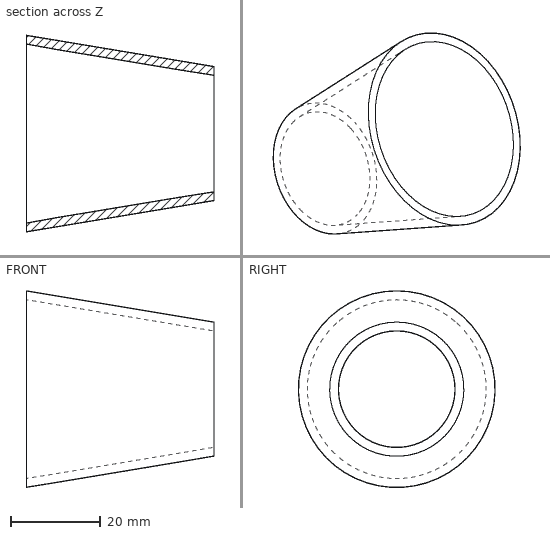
import cadquery as cq

length = 42.0
large_outer_diameter = 44.0
small_outer_diameter = 30.0
wall = 2.0

large_outer_radius = large_outer_diameter / 2
small_outer_radius = small_outer_diameter / 2


def tapered_sleeve():
    """Hollow cone along X, with its large open end at X = 0."""
    wall_section = (
        cq.Workplane("XZ")
        .moveTo(0, large_outer_radius - wall)
        .lineTo(0, large_outer_radius)
        .lineTo(length, small_outer_radius)
        .lineTo(length, small_outer_radius - wall)
        .close()
    )
    return wall_section.revolve(360, (0, 0, 0), (1, 0, 0))


result = tapered_sleeve()